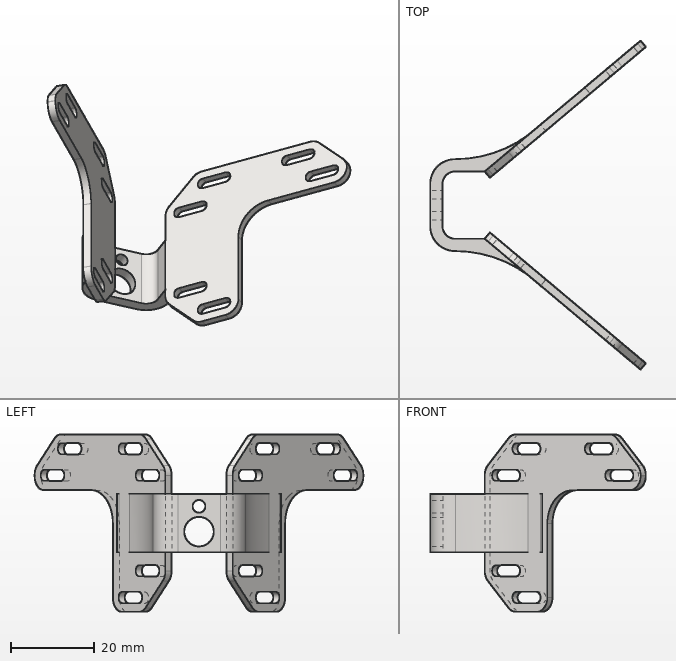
import cadquery as cq
import math

total_length = 51.75
total_width = 78.9
total_height = 42.6

clip_thickness = 3.0
clip_height = 14.05
clip_half_width = 11.05
clip_outer_radius = 2 * clip_thickness
clip_inner_radius = clip_outer_radius - clip_thickness
flare_radius = 29.5
flare_angle = math.radians(45)
flare_overlap = 0.8

pilot_hole_diameter = 3.0
pilot_hole_height = 25.3
main_hole_diameter = 7.0
main_hole_height = 19.25

wing_angle = math.radians(40)
wing_thickness = 2.0
leg_width = 19.65
arm_height = 13.4
corner_chamfer = 8.45
corner_radius = 3.5
inside_corner_radius = 8.0

slot_length = 8.75
slot_width = 2.7
slot_edge_offset = 3.5
slot_end_offset = 13.1
slot_step = 6.4

mid_height = total_height / 2
clip_inner_half_width = clip_half_width - clip_thickness
root_y = clip_inner_half_width
wing_length = (total_width / 2 - root_y) / math.sin(wing_angle)
root_x = total_length - wing_length * math.cos(wing_angle) - wing_thickness * math.sin(wing_angle)


def make_wing():
    """Wing on the +Y side: L-shaped plate, drawn along its length and height."""
    arm_bottom = total_height - arm_height
    plane = cq.Plane(
        origin=(root_x, root_y, 0),
        xDir=(math.cos(wing_angle), math.sin(wing_angle), 0),
        normal=(math.sin(wing_angle), -math.cos(wing_angle), 0),
    )
    outline = [
        (corner_chamfer, 0),
        (leg_width, 0),
        (leg_width, arm_bottom),
        (wing_length, arm_bottom),
        (wing_length, total_height - corner_chamfer),
        (wing_length - corner_chamfer, total_height),
        (corner_chamfer, total_height),
        (0, total_height - corner_chamfer),
        (0, corner_chamfer),
    ]
    inside_corner = plane.toWorldCoords((leg_width, arm_bottom, wing_thickness / 2))
    inside_edge = cq.selectors.NearestToPointSelector(inside_corner.toTuple())
    cross_edges = cq.selectors.ParallelDirSelector(plane.zDir)
    wing = cq.Workplane(plane).polyline(outline).close().extrude(wing_thickness)
    wing = wing.edges(cross_edges - inside_edge).fillet(corner_radius)
    wing = wing.edges(cross_edges & inside_edge).fillet(inside_corner_radius)

    outer_low = slot_edge_offset
    inner_low = slot_edge_offset + slot_step
    outer_high = total_height - outer_low
    inner_high = total_height - inner_low
    outer_near = slot_end_offset
    inner_near = slot_end_offset - slot_step
    slot_centers = [
        (outer_near, outer_low),
        (inner_near, inner_low),
        (inner_near, inner_high),
        (outer_near, outer_high),
        (wing_length - outer_near, outer_high),
        (wing_length - inner_near, inner_high),
    ]
    slots = (
        cq.Workplane(plane)
        .pushPoints(slot_centers)
        .slot2D(slot_length, slot_width)
        .extrude(wing_thickness)
    )
    return wing.cut(slots)


def make_clip_half():
    """+Y half of the clip: back, rounded corner and flared side."""
    bend_y = clip_half_width - clip_outer_radius
    diagonal = math.sqrt(0.5)

    def bend_middle(radius):
        return (clip_outer_radius - radius * diagonal, bend_y + radius * diagonal)

    def flare_point(angle, radius):
        return (
            clip_outer_radius + radius * math.sin(angle),
            clip_half_width + flare_radius - radius * math.cos(angle),
        )

    return (
        cq.Workplane("XY", origin=(0, 0, mid_height - clip_height / 2))
        .lineTo(0, bend_y)
        .threePointArc(bend_middle(clip_outer_radius), (clip_outer_radius, clip_half_width))
        .threePointArc(flare_point(flare_angle / 2, flare_radius), flare_point(flare_angle, flare_radius))
        .lineTo(*flare_point(flare_angle, flare_radius + flare_overlap))
        .lineTo(root_x, root_y)
        .lineTo(clip_outer_radius, clip_inner_half_width)
        .threePointArc(bend_middle(clip_inner_radius), (clip_thickness, bend_y))
        .lineTo(clip_thickness, 0)
        .close()
        .extrude(clip_height)
    )


def make_back_hole(diameter, height):
    """Cutter through the clip back, along X."""
    return (
        cq.Workplane("YZ")
        .center(0, height)
        .circle(diameter / 2)
        .extrude(clip_thickness)
    )


half = make_wing().union(make_clip_half())
result = half.union(half.mirror("XZ"))
result = result.cut(make_back_hole(pilot_hole_diameter, pilot_hole_height))
result = result.cut(make_back_hole(main_hole_diameter, main_hole_height))